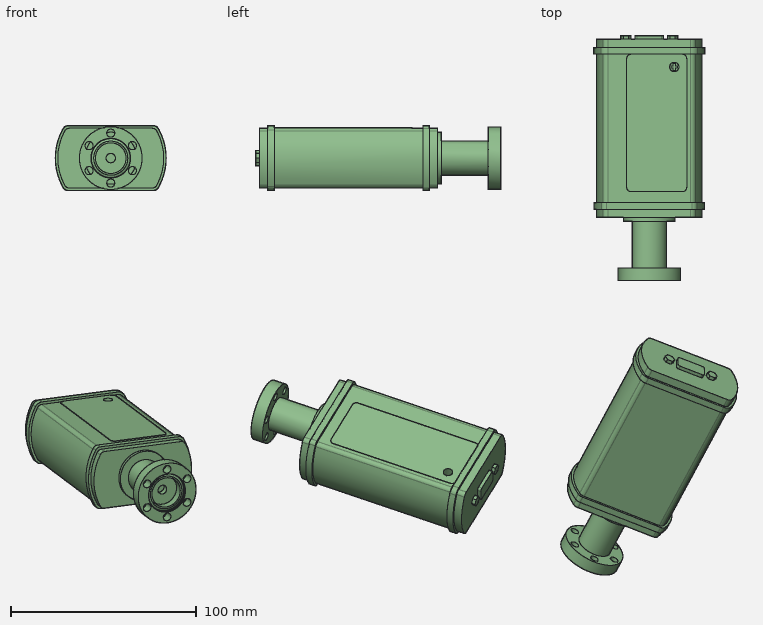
import cadquery as cq
import math

flange_thickness = 6.9
tube_end = 32.0
housing_front = 34.0
front_ring_start = 38.4
rear_ring_start = 122.0
ring_width = 3.5
housing_rear = 130.0
connector_rear = 132.0

ring_overall_width = 59.8
ring_overall_height = 35.0
housing_width = 57.0
housing_height = 32.2
ring_overhang = (ring_overall_width - housing_width) / 2
side_radius = 30.6
corner_radius = 2.9

boss_diameter = 28.0
tube_diameter = 18.6
flange_diameter = 33.8
bolt_count = 6
bolt_circle_radius = 13.5
bolt_hole_diameter = 4.4
recess_diameter = 21.4
recess_floor_diameter = 21.0
recess_step_depth = 0.9
knife_edge_diameter = 18.3
bore_diameter = 16.5
knife_edge_depth = 1.5
recess_depth = 2.1
bore_depth = 6.6
port_diameter = 5.0
port_depth = 4.0

label_left = -12.1
label_right = 20.2
label_front = 47.9
label_thickness = 0.3
label_corner_radius = 2.4

well_x = 13.5
well_y = 115.1
well_diameter = 5.0
well_depth = 5.3
slot_length = 3.5
slot_width = 1.2
slot_depth = 0.7

shell_width = 15.6
shell_height = 8.5
shell_corner_radius = 1.3
standoff_spacing = 25.1
standoff_across_corners = 5.7


def plane_at(y):
    """Plane at station y whose local axes are X and Z; a negative extrusion grows toward +Y."""
    return cq.Workplane("XZ", origin=(0, y, 0))


def cylinder(diameter, start, end):
    return plane_at(start).circle(diameter / 2).extrude(start - end)


def bowed_block(width, height, bow_radius, corner, start, end):
    """Block along Y with flat top and bottom, arched sides and rounded corners."""
    half_width = width / 2
    half_height = height / 2
    bow = bow_radius - math.sqrt(bow_radius**2 - half_height**2)
    corner_x = half_width - bow
    return (
        plane_at(start)
        .moveTo(-corner_x, half_height)
        .lineTo(corner_x, half_height)
        .threePointArc((half_width, 0), (corner_x, -half_height))
        .lineTo(-corner_x, -half_height)
        .threePointArc((-half_width, 0), (-corner_x, half_height))
        .close()
        .extrude(start - end)
        .edges("|Y")
        .fillet(corner)
    )


def ring(start, corner):
    """Band around the housing, standing proud by the same overhang all round."""
    bow_radius = side_radius + ring_overhang
    end = start + ring_width
    return bowed_block(ring_overall_width, ring_overall_height, bow_radius, corner, start, end)


def housing():
    block = bowed_block(
        housing_width, housing_height, side_radius, corner_radius, housing_front, housing_rear
    )
    front_ring = ring(front_ring_start, corner_radius)
    rear_ring = ring(rear_ring_start, corner_radius + ring_overhang)
    return block.union(front_ring).union(rear_ring)


def label():
    length = rear_ring_start - label_front
    center = ((label_left + label_right) / 2, label_front + length / 2)
    return (
        cq.Workplane("XY", origin=(0, 0, housing_height / 2))
        .center(*center)
        .rect(label_right - label_left, length)
        .extrude(label_thickness)
        .edges("|Z")
        .fillet(label_corner_radius)
    )


def adjuster_well():
    floor = housing_height / 2 - well_depth
    top = housing_height / 2 + label_thickness
    site = cq.Workplane("XY", origin=(well_x, well_y, floor))
    well = site.circle(well_diameter / 2).extrude(top - floor)
    slot_x = site.rect(slot_length, slot_width).extrude(-slot_depth)
    slot_y = site.rect(slot_width, slot_length).extrude(-slot_depth)
    return well.union(slot_x).union(slot_y)


def neck_and_flange():
    boss = cylinder(boss_diameter, tube_end, housing_front)
    tube = cylinder(tube_diameter, flange_thickness, tube_end)
    flange = cylinder(flange_diameter, 0, flange_thickness)
    bolt_holes = (
        plane_at(0)
        .polarArray(bolt_circle_radius, 90, 360, bolt_count)
        .circle(bolt_hole_diameter / 2)
        .extrude(-flange_thickness)
    )
    return boss.union(tube).union(flange).cut(bolt_holes).cut(sealing_bore())


def sealing_bore():
    """Stepped recess and bore with a sloped knife edge, revolved about the Y axis."""
    bore_end = bore_depth + port_depth
    return (
        cq.Workplane("XY")
        .polyline([
            (0, 0),
            (recess_diameter / 2, 0),
            (recess_diameter / 2, recess_step_depth),
            (recess_floor_diameter / 2, recess_step_depth),
            (recess_floor_diameter / 2, recess_depth),
            (knife_edge_diameter / 2, knife_edge_depth),
            (bore_diameter / 2, knife_edge_depth),
            (bore_diameter / 2, bore_depth),
            (port_diameter / 2, bore_depth),
            (port_diameter / 2, bore_end),
            (0, bore_end),
        ])
        .close()
        .revolve(360, (0, 0), (0, 1))
    )


def rear_connector():
    """Rounded connector shell between two hexagonal standoffs."""
    length = connector_rear - housing_rear
    shell = (
        plane_at(housing_rear)
        .rect(shell_width, shell_height)
        .extrude(-length)
        .edges("|Y")
        .fillet(shell_corner_radius)
    )
    standoffs = (
        plane_at(housing_rear)
        .pushPoints([(-standoff_spacing / 2, 0), (standoff_spacing / 2, 0)])
        .polygon(6, standoff_across_corners)
        .extrude(-length)
    )
    return shell.union(standoffs)


result = (
    housing()
    .union(label())
    .cut(adjuster_well())
    .union(neck_and_flange())
    .union(rear_connector())
)